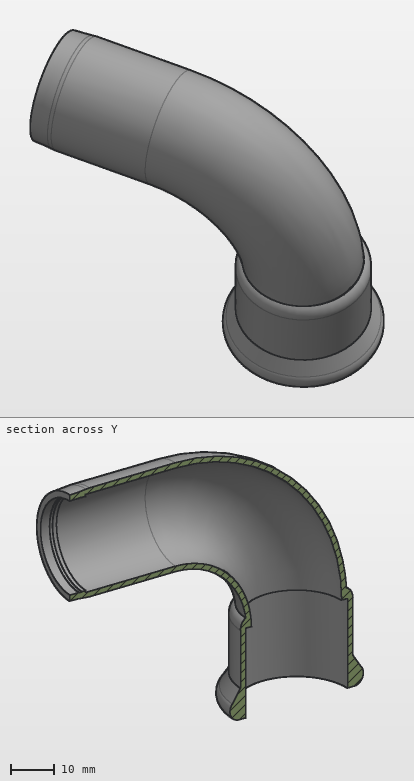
import cadquery as cq
import math

total_length = 81.6
total_height = 70.6
pipe_diameter = 28.0
pipe_bore = 25.0
straight_length = 29.3
bead_diameter = 37.2
socket_diameter = 31.3
socket_bore = 28.2

spigot_tip_diameter = 27.25
spigot_tip_bore = 24.0
taper_length = 4.5
blend_length = 1.0
blend_start_diameter = 27.8

lip_length = 4.4
groove_start = 2.5
groove_width = 0.8
groove_depth = 0.1

bead_mid_height = 2.8
bead_top_height = 4.65
cone_top_height = 8.1
bead_top_radius = 17.9
bead_face_radius = 16.3
shoulder_radius = 3.3

pipe_radius = pipe_diameter / 2
bore_radius = pipe_bore / 2
groove_end = groove_start + groove_width
lip_radius = spigot_tip_bore / 2
socket_radius = socket_diameter / 2
bead_radius = bead_diameter / 2
pipe_axis_z = total_height - pipe_radius
socket_axis_x = total_length - bead_radius
bend_radius = socket_axis_x - straight_length
bend_end_z = pipe_axis_z - bend_radius
shoulder_centre_radius = socket_radius - shoulder_radius
shoulder_top_z = bend_end_z + math.sqrt(shoulder_radius**2 - (pipe_radius - shoulder_centre_radius) ** 2)
shoulder_mid_angle = math.asin((shoulder_top_z - bend_end_z) / shoulder_radius) / 2
shoulder_mid_offset = shoulder_radius * math.sin(shoulder_mid_angle)
shoulder_mid_radius = shoulder_centre_radius + shoulder_radius * math.cos(shoulder_mid_angle)


def revolved_run(points):
    """Solid of revolution about the horizontal pipe axis from (x, radius) points."""
    profile = cq.Workplane("XY").polyline([(0, 0), *points, (straight_length, 0)]).close()
    return profile.revolve(360, (0, 0, 0), (1, 0, 0)).translate((0, 0, pipe_axis_z))


def bend(radius):
    """Quarter-turn bend from the +X direction down to -Z."""
    return (
        cq.Workplane("YZ", origin=(straight_length, 0, pipe_axis_z))
        .circle(radius)
        .revolve(90, (-0.8, -bend_radius, 0), (0.8, -bend_radius, 0))
    )


def socket_body():
    """Press socket with rounded bead, cone and rounded shoulder."""
    profile = (
        cq.Workplane("XZ")
        .lineTo(bead_face_radius, 0)
        .threePointArc((bead_radius, bead_mid_height), (bead_top_radius, bead_top_height))
        .lineTo(socket_radius, cone_top_height)
        .lineTo(socket_radius, bend_end_z)
        .threePointArc(
            (shoulder_mid_radius, bend_end_z + shoulder_mid_offset),
            (pipe_radius, shoulder_top_z),
        )
        .lineTo(0, shoulder_top_z)
        .close()
    )
    return profile.revolve(360, (0, 0, 0), (0, 1, 0)).translate((socket_axis_x, 0, 0))


outer_pipe = revolved_run(
    [
        (0, spigot_tip_diameter / 2),
        (taper_length, blend_start_diameter / 2),
        (taper_length + blend_length, pipe_radius),
        (straight_length, pipe_radius),
    ]
)
inner_pipe = revolved_run(
    [
        (0, lip_radius),
        (groove_start, lip_radius),
        (groove_start, lip_radius + groove_depth),
        (groove_end, lip_radius + groove_depth),
        (groove_end, lip_radius),
        (lip_length, lip_radius),
        (lip_length, bore_radius),
        (straight_length, bore_radius),
    ]
)
socket_cavity = cq.Workplane("XY").center(socket_axis_x, 0).circle(socket_bore / 2).extrude(bend_end_z)

outside = outer_pipe.union(bend(pipe_radius)).union(socket_body())
result = outside.cut(inner_pipe).cut(bend(bore_radius)).cut(socket_cavity)